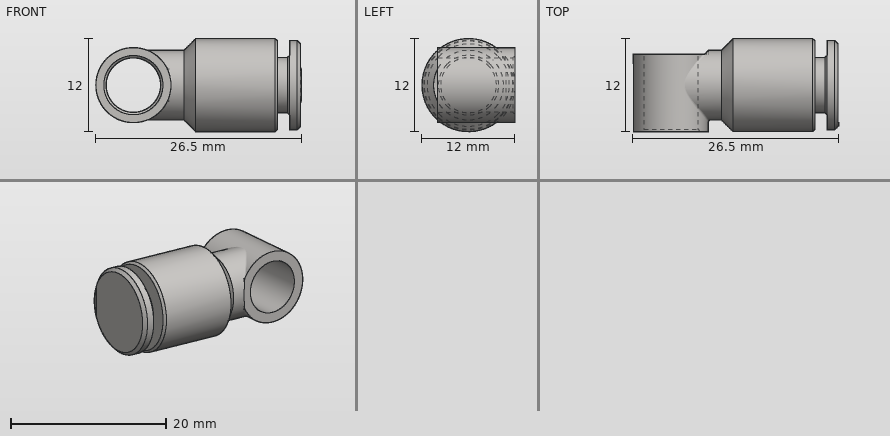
import cadquery as cq

ring_radius = 4.85
ring_x = ring_radius
ring_front_y = -6.0
ring_back_y = 4.0
bore_radius = 3.5
bore_chamfer = 0.32

neck_radius = 4.5
neck_end_x = 11.35
neck_fillet = 0.25
body_radius = 6.0
body_start_x = neck_end_x + body_radius - neck_radius
body_end_x = 23.4
body_chamfer = 0.32

stem_radius = 3.57
flange_radius = 5.77
flange_start_x = 24.95
stem_flare = 0.3
end_x = 26.45
flange_chamfer = 0.53
face_relief = 0.08
raised_edge_y = -4.81

cut_size = 3 * body_radius


def cylinder_along_y(radius, y_start, y_end):
    """Cylinder on the ring axis."""
    base = cq.Workplane("XZ", origin=(ring_x, y_start, 0))
    return base.circle(radius).extrude(y_start - y_end)


def cylinder_along_x(radius, x_start, x_end):
    """Cylinder on the body axis."""
    return cq.Workplane("YZ", origin=(x_start, 0, 0)).circle(radius).extrude(x_end - x_start)


def make_ring_and_neck():
    """Ring with a filleted neck; the neck is wider than the ring at the back."""
    full_ring = cylinder_along_y(ring_radius, ring_front_y, -ring_front_y)
    neck = cylinder_along_x(neck_radius, ring_x, neck_end_x)
    junction = cq.selectors.BoxSelector(
        (ring_x, -neck_radius, -neck_radius),
        (ring_x + ring_radius + neck_fillet, neck_radius, neck_radius),
    )
    joined = full_ring.union(neck).edges(junction).fillet(neck_fillet)

    beyond_ring = cq.Workplane("XY").box(
        2 * cut_size, cut_size, cut_size, centered=(True, False, True)
    ).translate((0, ring_back_y, 0))
    neck_outside_ring = neck.cut(full_ring)
    return joined.cut(beyond_ring).union(neck_outside_ring)


def make_body_and_collar():
    """Turned body, stem and flanged collar."""
    profile = [
        (neck_end_x, 0),
        (neck_end_x, neck_radius),
        (body_start_x, body_radius),
        (body_end_x - body_chamfer, body_radius),
        (body_end_x, body_radius - body_chamfer),
        (body_end_x, stem_radius),
        (flange_start_x - stem_flare, stem_radius),
        (flange_start_x, stem_radius + stem_flare),
        (flange_start_x, flange_radius),
        (end_x - flange_chamfer, flange_radius),
        (end_x, flange_radius - flange_chamfer),
        (end_x, 0),
    ]
    return cq.Workplane("XY").polyline(profile).close().revolve(360, (0, 0, 0), (1, 0, 0))


def make_face_relief():
    """Shallow relief of the end face that leaves a raised segment at the front."""
    return cq.Workplane("XY").box(
        face_relief, cut_size, cut_size, centered=(False, False, True)
    ).translate((end_x - face_relief, raised_edge_y, 0))


def make_bore():
    """Through bore of the ring, chamfered at the front."""
    bore = cylinder_along_y(bore_radius, ring_front_y, ring_back_y)
    countersink = cq.Workplane("XY").add(
        cq.Solid.makeCone(
            bore_radius + bore_chamfer,
            bore_radius,
            bore_chamfer,
            pnt=cq.Vector(ring_x, ring_front_y, 0),
            dir=cq.Vector(0, 1, 0),
        )
    )
    return bore.union(countersink)


result = (
    make_ring_and_neck()
    .union(make_body_and_collar())
    .cut(make_face_relief())
    .cut(make_bore())
)